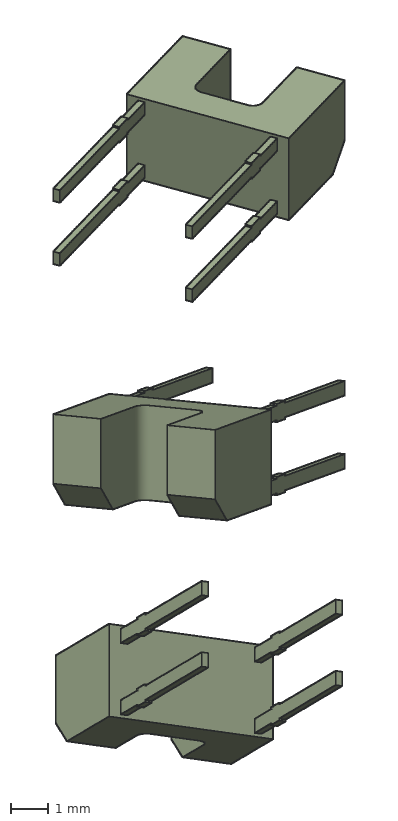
import cadquery as cq

body_width = 4.9
body_depth = 3.3
body_height = 2.6
front_chamfer = 0.7

slot_width = 2.0
slot_depth = 2.3
slot_corner_radius = 0.3

lead_pitch_x = 4.0
lead_pitch_z = 2.0
lead_length = 5.0
lead_width = 0.2
lead_height = 0.4

stop_offset = 1.0
stop_length = 0.5
stop_height = 0.5


def make_housing():
    """Block with its lower front edge chamfered and a slot cut from the front."""
    block = cq.Workplane("XY").box(body_width, body_depth, body_height, centered=(True, False, True))
    block = block.faces(">Y").edges("<Z").chamfer(front_chamfer)
    slot = (
        cq.Workplane("XY")
        .box(slot_width, slot_depth, body_height, centered=(True, False, True))
        .edges("|Z and <Y")
        .fillet(slot_corner_radius)
        .translate((0, body_depth - slot_depth, 0))
    )
    return block.cut(slot)


def make_lead(x, z):
    """Rectangular pin with a taller stop, centred on (x, z) and starting at the rear face."""
    pin = (
        cq.Workplane("XY")
        .box(lead_width, lead_length, lead_height)
        .translate((x, -lead_length / 2, z))
    )
    stop = (
        cq.Workplane("XY")
        .box(lead_width, stop_length, stop_height)
        .translate((x, -stop_offset - stop_length / 2, z))
    )
    return pin.union(stop)


result = make_housing()
for side_x in (-1, 1):
    for side_z in (-1, 1):
        result = result.union(make_lead(side_x * lead_pitch_x / 2, side_z * lead_pitch_z / 2))